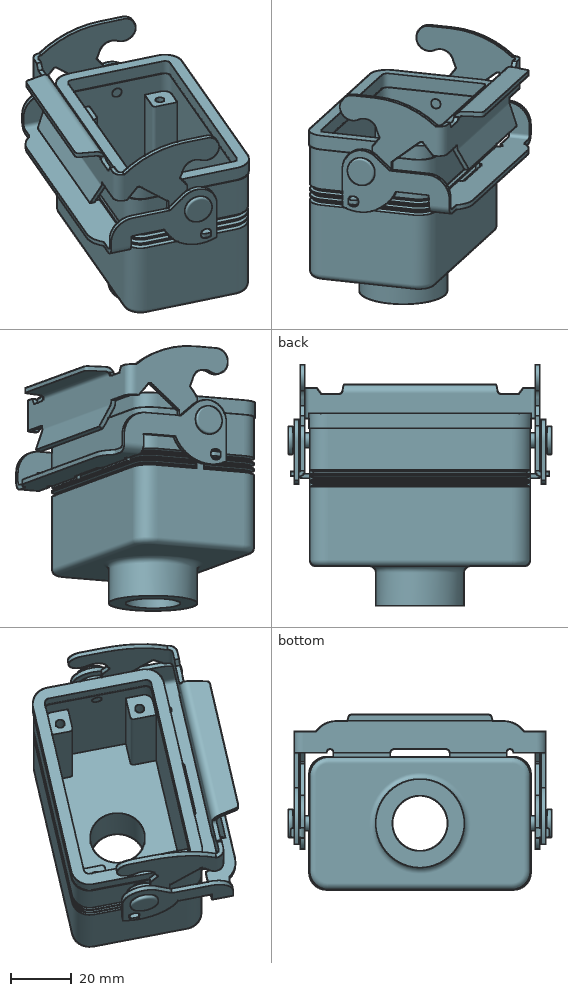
import cadquery as cq
import math

SIDES = (-1, 1)

BODY_LENGTH = 72.7
BODY_DEPTH = 43.6
BODY_BOTTOM = 13.05
BODY_CORNER = 6.0
BODY_EDGE = 2.0
RIM_LENGTH = 73.25
RIM_DEPTH = 44.0
RIM_BOTTOM = 58.55
RIM_TOP = 63.4

OPENING_LENGTH = 65.3
OPENING_DEPTH = 35.85
OPENING_CORNER = 1.7
UNDERCUT = 0.35
CHAMBER_LENGTH = OPENING_LENGTH + 2 * UNDERCUT
CHAMBER_DEPTH = OPENING_DEPTH + 2 * UNDERCUT
CHAMBER_CORNER = 2.8
FLOOR_TOP = BODY_BOTTOM + (BODY_LENGTH - CHAMBER_LENGTH) / 2

SPIGOT_RADIUS = 14.6
SPIGOT_FILLET = 2.0
BORE_RADIUS = 9.05

POST_TOP = 51.5
POST_INNER_X = 25.0
POST_INNER_Y = 9.75
POST_EDGE = 1.05
SCREW_X = 28.4
SCREW_Y = 13.4
SCREW_HOLE = 3.0
SCREW_DEPTH = 13.05
DRILL_POINT_ANGLE = 118

GROOVE_COUNT = 3
GROOVE_TOP = 44.8
GROOVE_PITCH = 2.0
GROOVE_WIDTH = 1.6
GROOVE_DEPTH = 1.1
GROOVE_FLANK = GROOVE_WIDTH / 3
GROOVE_BRIDGE = 2.7

PIVOT_Z = 54.55
HEAD_TIP_X = 43.5
HEAD_INNER_X = 41.85
HEAD_RADIUS = 4.7
HEAD_EDGE = 0.6
PIN_RADIUS = 2.5
TAIL_RADIUS = 1.65

SHEET = 1.6
BEND_OUTER = 3.0
BEND_INNER = BEND_OUTER - SHEET

HOOK_OUTER_X = 39.5
HOOK_INNER_X = HOOK_OUTER_X - SHEET
HOOK_TOP = 79.5
HOOK_TIP_Y = 4.2
HOOK_TIP_RADIUS = 4.35
THROAT_Z = 67.5
THROAT_RADIUS = 4.4
THROAT_END_ANGLE = 79
THROAT_LIP_Y = -5.3
THROAT_LIP_Z = 65.95
NECK_BACK_Y = -2.8
NECK_BACK_TOP = 62.6
BACK_ARC_Y = -3.65
ARCH_TOP = 65.95
ARCH_BACK_Y = -19.6
ARCH_FRONT_Y = -20.3
ARCH_FOOT_Y = -23.9
BAR_FRONT_Y = -27.9
BAR_BACK_Y = BAR_FRONT_Y + SHEET
BAR_BEND_Y = BAR_FRONT_Y + BEND_OUTER
BAR_BOTTOM = 61.7
BAR_TOP = 71.9
BAR_NOTCH_Z = 69.9
BAR_NOTCH_FLOOR_X = 32.5
BAR_NOTCH_OUTER_X = 34.0
THUMB_TOP = 73.0
THUMB_TIP_Y = -35.9
THUMB_ROOT_X = 25.6
THUMB_ROOT_FILLET = 1.2
THUMB_TIP_X = 23.5
SKIRT_ANGLE = 25
SKIRT_BEND_Z = 60.1
SKIRT_LENGTH = 7.9
SKIRT_ROOT_X = 26.6
SKIRT_TIP_X = 24.1
TAB_CORNER = 1.4

TAIL_FRONT_Y = -9.3
TAIL_FRONT_TOP = 57.7
TAIL_BACK_Y = 4.9
TAIL_BOTTOM = 44.55
TAIL_CORNER = 8.1
LUG_Y = 3.1
LUG_WIDTH = 3.2
LUG_BOTTOM = 42.7
LUG_TOP = LUG_BOTTOM + SHEET
LUG_TIP_X = 42.6
LUG_CORNER = 0.8
LUG_HOLE_RADIUS = 1.8

ARM_OUTER_X = 41.5
ARM_INNER_X = ARM_OUTER_X - SHEET
ARM_ROUND = 7.0
ROUND_END_ANGLE = 38
SHOULDER_Y = -9.6
LOBE_FRONT_Y = -11.7
LOBE_BOTTOM = 40.1
LOBE_BACK_Z = 41.3
ARM_TOP = 55.5
ARM_BOTTOM = 48.5
ARM_FRONT_Y = -30.3
ARM_BACK_Y = -23.2
ARM_ELBOW = 7.6
ARM_INNER_ELBOW = 0.6
SHELF_BOTTOM = 42.0
SHELF_TOP = SHELF_BOTTOM + SHEET
SHELF_BEND_Z = SHELF_BOTTOM + BEND_OUTER
LIP_FRONT_Y = -33.75
LIP_FLAT_X = 27.6
LIP_ROOT_X = 34.3
LIP_ROOT_FILLET = 0.7
SHELF_GAP_X = 9.75
SHELF_GAP_CORNER = 1.3
SHELF_CUT_Y = -24.45
RELIEF_WIDTH = 2.1
FLAP_OUTER_X = 28.6
FLAP_FRONT_Y = -21.8
FLAP_BOTTOM = 41.3
FLAP_EDGE = 1.2


def block(x_range, y_range, z_range):
    """Box between pairs of limits, given in any order."""
    spans = [sorted(limits) for limits in (x_range, y_range, z_range)]
    size = [high - low for low, high in spans]
    corner = tuple(low for low, high in spans)
    return cq.Workplane("XY").box(*size, centered=False).translate(corner)


def rounded_block(length, depth, corner, bottom, top):
    """Upright block, centred on X and Y, with rounded vertical edges."""
    return (
        cq.Workplane("XY", origin=(0, 0, bottom))
        .rect(length, depth)
        .extrude(top - bottom)
        .edges("|Z")
        .fillet(corner)
    )


def side_disc(radius, inner_x, outer_x, side, y=0, z=PIVOT_Z):
    """Cylinder along X on the given side of the part."""
    plane = cq.Workplane("YZ", origin=(side * inner_x, y, z))
    return plane.circle(radius).extrude(side * (outer_x - inner_x))


def mirrored(make):
    """Union of what `make` builds for the -X side and the +X side."""
    left, right = (make(side) for side in SIDES)
    return left.union(right)




def groove_core(bottom):
    """Body section that stays inside one groove: necked, with sloping flanks."""
    flank_angle = math.degrees(math.atan2(GROOVE_DEPTH, GROOVE_FLANK))

    def outline(height):
        sketch = cq.Sketch().rect(BODY_LENGTH, BODY_DEPTH).vertices().fillet(BODY_CORNER)
        return cq.Workplane("XY", origin=(0, 0, height)).placeSketch(sketch)

    lower_flank = outline(bottom).extrude(GROOVE_FLANK, taper=flank_angle)
    upper_flank = outline(bottom + GROOVE_WIDTH).extrude(-GROOVE_FLANK, taper=flank_angle)
    neck = rounded_block(
        BODY_LENGTH - 2 * GROOVE_DEPTH,
        BODY_DEPTH - 2 * GROOVE_DEPTH,
        BODY_CORNER - GROOVE_DEPTH,
        bottom,
        bottom + GROOVE_WIDTH,
    )
    return neck.union(lower_flank).union(upper_flank)


def cut_grooves(body):
    """Cut the grooves, leaving an uncut bridge in the middle of each end face."""
    bridge_y = GROOVE_BRIDGE / 2
    bridge = block((-BODY_LENGTH, BODY_LENGTH), (-bridge_y, bridge_y), (BODY_BOTTOM, RIM_BOTTOM))
    for index in range(GROOVE_COUNT):
        top = GROOVE_TOP - index * GROOVE_PITCH
        bottom = top - GROOVE_WIDTH
        slab = block((-BODY_LENGTH, BODY_LENGTH), (-BODY_DEPTH, BODY_DEPTH), (bottom, top))
        body = body.cut(slab.cut(groove_core(bottom)).cut(bridge))
    return body


def spigot():
    """Round spigot that flares into the underside of the body."""
    flare_radius = SPIGOT_RADIUS + SPIGOT_FILLET
    middle = SPIGOT_FILLET * (1 - math.sqrt(0.5))
    return (
        cq.Workplane("XZ")
        .lineTo(SPIGOT_RADIUS, 0)
        .lineTo(SPIGOT_RADIUS, BODY_BOTTOM - SPIGOT_FILLET)
        .threePointArc((SPIGOT_RADIUS + middle, BODY_BOTTOM - middle), (flare_radius, BODY_BOTTOM))
        .lineTo(flare_radius, FLOOR_TOP)
        .lineTo(0, FLOOR_TOP)
        .close()
        .revolve(360, (0, 0, 0), (0, 1, 0))
    )


def chamber():
    """Space inside the housing below the rim."""
    return rounded_block(CHAMBER_LENGTH, CHAMBER_DEPTH, CHAMBER_CORNER, FLOOR_TOP, RIM_BOTTOM)


def screw_post(x_side, y_side):
    """Corner post that fits against the two chamber walls and their rounded corner."""
    post = block(
        (x_side * POST_INNER_X, x_side * CHAMBER_LENGTH / 2),
        (y_side * POST_INNER_Y, y_side * CHAMBER_DEPTH / 2),
        (FLOOR_TOP, POST_TOP),
    )
    inner_edge = cq.NearestToPointSelector((x_side * POST_INNER_X, y_side * POST_INNER_Y, POST_TOP / 2))
    post = post.edges("|Z").edges(inner_edge).fillet(POST_EDGE)
    return post.intersect(chamber())


def screw_hole(x_side, y_side):
    """Drilled hole with a conical end."""
    radius = SCREW_HOLE / 2
    point = radius / math.tan(math.radians(DRILL_POINT_ANGLE / 2))
    profile = [(0, 0), (radius, 0), (radius, -SCREW_DEPTH), (0, -SCREW_DEPTH - point)]
    hole = cq.Workplane("XZ").polyline(profile).close().revolve(360, (0, 0, 0), (0, 1, 0))
    return hole.translate((x_side * SCREW_X, y_side * SCREW_Y, POST_TOP))


def make_housing():
    body = rounded_block(BODY_LENGTH, BODY_DEPTH, BODY_CORNER, BODY_BOTTOM, RIM_BOTTOM)
    body = cut_grooves(body.faces("<Z").edges().fillet(BODY_EDGE))
    body = body.union(rounded_block(RIM_LENGTH, RIM_DEPTH, BODY_CORNER, RIM_BOTTOM, RIM_TOP))
    body = body.cut(chamber())
    body = body.cut(rounded_block(OPENING_LENGTH, OPENING_DEPTH, OPENING_CORNER, RIM_BOTTOM, RIM_TOP))
    body = body.union(spigot())
    body = body.cut(cq.Workplane("XY").circle(BORE_RADIUS).extrude(FLOOR_TOP))
    for x_side in SIDES:
        for y_side in SIDES:
            body = body.union(screw_post(x_side, y_side)).cut(screw_hole(x_side, y_side))
        body = body.cut(side_disc(TAIL_RADIUS, 0, BODY_LENGTH / 2, x_side))
    return body




def bent_bar(plane, half_width, base):
    """Section of a sheet bar along `base` whose two ends bend upward in the plane."""
    flat_end = half_width - BEND_OUTER
    bend_top = base + BEND_OUTER
    return (
        plane.moveTo(0, base)
        .lineTo(flat_end, base)
        .tangentArcPoint((half_width, bend_top), relative=False)
        .lineTo(half_width - SHEET, bend_top)
        .radiusArc((flat_end, base + SHEET), BEND_INNER)
        .lineTo(0, base + SHEET)
        .mirrorY()
    )


def pivot_pin(side):
    """Headed pin whose thinner tail fills the hole in the housing wall."""
    head = side_disc(HEAD_RADIUS, HEAD_INNER_X, HEAD_TIP_X, side).edges().fillet(HEAD_EDGE)
    shank = side_disc(PIN_RADIUS, BODY_LENGTH / 2, HEAD_INNER_X, side)
    tail = side_disc(TAIL_RADIUS, CHAMBER_LENGTH / 2, BODY_LENGTH / 2, side)
    return head.union(shank).union(tail)


def throat_point(angle):
    """Point on the throat arc, by its angle in degrees in front of the top of the arc."""
    turn = math.radians(angle)
    return (-THROAT_RADIUS * math.sin(turn), THROAT_Z + THROAT_RADIUS * math.cos(turn))


def hook_plate(side):
    """Side plate of the inner lever, from the hook down to the tail."""
    tip_z = HOOK_TOP - HOOK_TIP_RADIUS
    throat_share = THROAT_RADIUS / (THROAT_RADIUS + HOOK_TIP_RADIUS)
    throat_start = (HOOK_TIP_Y * throat_share, THROAT_Z + (tip_z - THROAT_Z) * throat_share)
    throat_middle = throat_point(THROAT_END_ANGLE / 3)
    pivot_arc_z = PIVOT_Z + math.sqrt(TAIL_BACK_Y**2 - NECK_BACK_Y**2)
    pivot_arc_offset = TAIL_BACK_Y * math.sqrt(0.5)
    back_run = BACK_ARC_Y - BAR_BEND_Y
    back_drop = HOOK_TOP - BAR_TOP
    back_radius = (back_run**2 + back_drop**2) / (2 * back_drop)
    outline = (
        cq.Workplane("YZ", origin=(side * HOOK_INNER_X, 0, 0))
        .moveTo(HOOK_TIP_Y, HOOK_TOP)
        .threePointArc((HOOK_TIP_Y + HOOK_TIP_RADIUS, tip_z), throat_start)
        .threePointArc(throat_middle, throat_point(THROAT_END_ANGLE))
        .lineTo(THROAT_LIP_Y, THROAT_LIP_Z)
        .lineTo(NECK_BACK_Y, NECK_BACK_TOP)
        .lineTo(NECK_BACK_Y, pivot_arc_z)
        .threePointArc((pivot_arc_offset, PIVOT_Z + pivot_arc_offset), (TAIL_BACK_Y, PIVOT_Z))
        .lineTo(TAIL_BACK_Y, TAIL_BOTTOM)
        .lineTo(TAIL_FRONT_Y + TAIL_CORNER, TAIL_BOTTOM)
        .tangentArcPoint((TAIL_FRONT_Y, TAIL_BOTTOM + TAIL_CORNER), relative=False)
        .lineTo(TAIL_FRONT_Y, TAIL_FRONT_TOP)
        .lineTo(ARCH_BACK_Y, ARCH_TOP)
        .lineTo(ARCH_FRONT_Y, ARCH_TOP)
        .lineTo(ARCH_FOOT_Y, BAR_BOTTOM)
        .lineTo(BAR_BEND_Y, BAR_BOTTOM)
        .lineTo(BAR_BEND_Y, BAR_TOP)
        .radiusArc((BACK_ARC_Y, HOOK_TOP), back_radius)
        .close()
    )
    return outline.extrude(side * SHEET)


def front_bar():
    """Front bar of the inner lever with its bent corners and notched top edge."""
    plane = cq.Workplane("XY", origin=(0, 0, BAR_BOTTOM))
    bar = bent_bar(plane, HOOK_OUTER_X, BAR_FRONT_Y).extrude(BAR_TOP - BAR_BOTTOM)
    notch = (
        cq.Workplane("XZ")
        .moveTo(-BAR_NOTCH_OUTER_X, BAR_TOP)
        .lineTo(-BAR_NOTCH_FLOOR_X, BAR_NOTCH_Z)
        .lineTo(BAR_NOTCH_FLOOR_X, BAR_NOTCH_Z)
        .lineTo(BAR_NOTCH_OUTER_X, BAR_TOP)
        .close()
        .extrude(-BAR_FRONT_Y)
    )
    return bar.cut(notch)


def thumb_tab():
    """Tab that bends forward from the top of the front bar and narrows to its tip."""
    flare_x = THUMB_ROOT_X + THUMB_ROOT_FILLET
    bend_z = THUMB_TOP - BEND_OUTER
    bend_y = BAR_BACK_Y - BEND_OUTER
    sheet = (
        cq.Workplane("YZ")
        .moveTo(BAR_BACK_Y, BAR_NOTCH_Z)
        .lineTo(BAR_BACK_Y, bend_z)
        .tangentArcPoint((bend_y, THUMB_TOP), relative=False)
        .lineTo(THUMB_TIP_Y, THUMB_TOP)
        .lineTo(THUMB_TIP_Y, THUMB_TOP - SHEET)
        .lineTo(bend_y, THUMB_TOP - SHEET)
        .tangentArcPoint((BAR_FRONT_Y, bend_z), relative=False)
        .lineTo(BAR_FRONT_Y, BAR_NOTCH_Z)
        .close()
        .extrude(flare_x, both=True)
    )
    plan = [
        (-THUMB_ROOT_X, BAR_BACK_Y),
        (-THUMB_TIP_X, THUMB_TIP_Y),
        (THUMB_TIP_X, THUMB_TIP_Y),
        (THUMB_ROOT_X, BAR_BACK_Y),
    ]
    trim = cq.Workplane("XY").polyline(plan).close().extrude(HOOK_TOP)
    tab = sheet.intersect(trim.edges("|Z and <Y").fillet(TAB_CORNER))
    flare = (
        cq.Workplane("XZ")
        .moveTo(0, BAR_NOTCH_Z)
        .lineTo(flare_x, BAR_NOTCH_Z)
        .radiusArc((flare_x - THUMB_ROOT_FILLET, BAR_NOTCH_Z + THUMB_ROOT_FILLET), THUMB_ROOT_FILLET)
        .lineTo(0, BAR_NOTCH_Z + THUMB_ROOT_FILLET)
        .mirrorY()
        .extrude(-BAR_FRONT_Y)
    )
    return tab.union(sheet.intersect(flare))


def skirt_tab():
    """Tab that hangs from the front bar and leans outward."""
    lean = math.radians(SKIRT_ANGLE)
    forward = math.sin(lean)
    down = math.cos(lean)
    tip_y = BAR_FRONT_Y - SKIRT_LENGTH * forward
    tip_z = SKIRT_BEND_Z - SKIRT_LENGTH * down
    back_bend_z = SKIRT_BEND_Z - SHEET * math.tan(lean / 2)
    side_profile = [
        (BAR_FRONT_Y, BAR_BOTTOM),
        (BAR_FRONT_Y, SKIRT_BEND_Z),
        (tip_y, tip_z),
        (tip_y + SHEET * down, tip_z - SHEET * forward),
        (BAR_BACK_Y, back_bend_z),
        (BAR_BACK_Y, BAR_BOTTOM),
    ]
    sheet = cq.Workplane("YZ").polyline(side_profile).close().extrude(SKIRT_ROOT_X, both=True)
    front_bend = cq.NearestToPointSelector((0, BAR_FRONT_Y, SKIRT_BEND_Z))
    sheet = sheet.edges("|X").edges(front_bend).fillet(BEND_INNER)
    back_bend = cq.NearestToPointSelector((0, BAR_BACK_Y, back_bend_z))
    sheet = sheet.edges("|X").edges(back_bend).fillet(BEND_OUTER)
    bottom = tip_z - SHEET * forward
    front_outline = [
        (-SKIRT_ROOT_X, BAR_BOTTOM),
        (SKIRT_ROOT_X, BAR_BOTTOM),
        (SKIRT_TIP_X, bottom),
        (-SKIRT_TIP_X, bottom),
    ]
    trim = cq.Workplane("XZ").polyline(front_outline).close().extrude(-THUMB_TIP_Y)
    return sheet.intersect(trim.edges("|Y and <Z").fillet(TAB_CORNER))


def tail_lug(side):
    """Lug bent outward from the tail of the inner lever."""
    bend_radius = TAIL_BOTTOM - LUG_BOTTOM
    inner_bend_radius = bend_radius - SHEET
    sheet = (
        cq.Workplane("XZ", origin=(0, LUG_Y, 0))
        .moveTo(LUG_TIP_X, LUG_BOTTOM)
        .lineTo(HOOK_INNER_X + bend_radius, LUG_BOTTOM)
        .tangentArcPoint((HOOK_INNER_X, TAIL_BOTTOM), relative=False)
        .lineTo(HOOK_OUTER_X, TAIL_BOTTOM)
        .radiusArc((HOOK_OUTER_X + inner_bend_radius, LUG_TOP), -inner_bend_radius)
        .lineTo(LUG_TIP_X, LUG_TOP)
        .close()
    )
    lug = sheet.extrude(LUG_WIDTH / 2, both=True).edges("|Z and >X").fillet(LUG_CORNER)
    return lug if side > 0 else lug.mirror("YZ")


def arm_plate(side):
    """Side plate of the outer lever: round pivot end, lower lobe and elbowed arm."""
    end_turn = math.radians(ROUND_END_ANGLE)
    round_end = (-ARM_ROUND * math.sin(end_turn), PIVOT_Z + ARM_ROUND * math.cos(end_turn))
    lug_z = (LUG_BOTTOM + LUG_TOP) / 2
    outline = (
        cq.Workplane("YZ", origin=(side * ARM_INNER_X, 0, 0))
        .moveTo(ARM_ROUND, PIVOT_Z)
        .threePointArc((0, PIVOT_Z + ARM_ROUND), round_end)
        .lineTo(SHOULDER_Y, ARM_TOP)
        .lineTo(ARM_FRONT_Y + ARM_ELBOW, ARM_TOP)
        .tangentArcPoint((ARM_FRONT_Y, ARM_TOP - ARM_ELBOW), relative=False)
        .lineTo(ARM_FRONT_Y, SHELF_BEND_Z)
        .lineTo(ARM_BACK_Y, SHELF_BEND_Z)
        .lineTo(ARM_BACK_Y, ARM_BOTTOM - ARM_INNER_ELBOW)
        .tangentArcPoint((ARM_BACK_Y + ARM_INNER_ELBOW, ARM_BOTTOM), relative=False)
        .lineTo(LOBE_FRONT_Y, ARM_BOTTOM)
        .threePointArc((0, LOBE_BOTTOM), (ARM_ROUND, LOBE_BACK_Z))
        .close()
    )
    plate = outline.extrude(side * SHEET)
    return plate.cut(side_disc(LUG_HOLE_RADIUS, ARM_INNER_X, ARM_OUTER_X, side, LUG_Y, lug_z))


def lip():
    """Forward extension of the shelf with rounded shoulders."""
    return (
        cq.Workplane("XY", origin=(0, 0, SHELF_BOTTOM))
        .moveTo(0, LIP_FRONT_Y)
        .lineTo(LIP_FLAT_X, LIP_FRONT_Y)
        .tangentArcPoint((LIP_ROOT_X, ARM_FRONT_Y), relative=False)
        .lineTo(0, ARM_FRONT_Y)
        .mirrorY()
        .extrude(SHEET)
    )


def flap(side):
    """Flap bent down from the back edge of the shelf."""
    body = block(
        (side * SHELF_GAP_X, side * FLAP_OUTER_X),
        (ARM_BACK_Y, FLAP_FRONT_Y),
        (FLAP_BOTTOM, SHELF_TOP),
    )
    return body.edges("|X and >Y and >Z").fillet(FLAP_EDGE)


def shelf():
    """Flat bar of the outer lever, with bent ends, lip, flaps and relief cuts."""
    plane = cq.Workplane("XZ", origin=(0, ARM_BACK_Y, 0))
    bar = bent_bar(plane, ARM_OUTER_X, SHELF_BOTTOM).extrude(ARM_BACK_Y - ARM_FRONT_Y)
    bar = bar.union(lip())
    middle_z = (SHELF_BOTTOM + SHELF_TOP) / 2
    for side in SIDES:
        lip_root = cq.NearestToPointSelector((side * LIP_ROOT_X, ARM_FRONT_Y, middle_z))
        bar = bar.edges("|Z").edges(lip_root).fillet(LIP_ROOT_FILLET)
    bar = bar.union(mirrored(flap))

    gap = block((-SHELF_GAP_X, SHELF_GAP_X), (SHELF_CUT_Y, 0), (FLAP_BOTTOM, SHELF_TOP))
    bar = bar.cut(gap.edges("|Z and <Y").fillet(SHELF_GAP_CORNER))
    relief_radius = RELIEF_WIDTH / 2
    relief_x = FLAP_OUTER_X + relief_radius
    reliefs = (
        cq.Workplane("XY", origin=(0, 0, SHELF_BOTTOM))
        .pushPoints([(side * relief_x, SHELF_CUT_Y + relief_radius) for side in SIDES])
        .circle(relief_radius)
        .extrude(SHEET)
    )
    return bar.cut(reliefs)


def make_lever():
    inner_lever = mirrored(hook_plate).union(front_bar()).union(thumb_tab()).union(skirt_tab())
    inner_lever = inner_lever.union(mirrored(tail_lug))
    outer_lever = mirrored(arm_plate).union(shelf())
    return inner_lever.union(outer_lever).union(mirrored(pivot_pin))


housing = make_housing()
lever = make_lever()

result = cq.Compound.makeCompound([housing.val(), lever.val()])